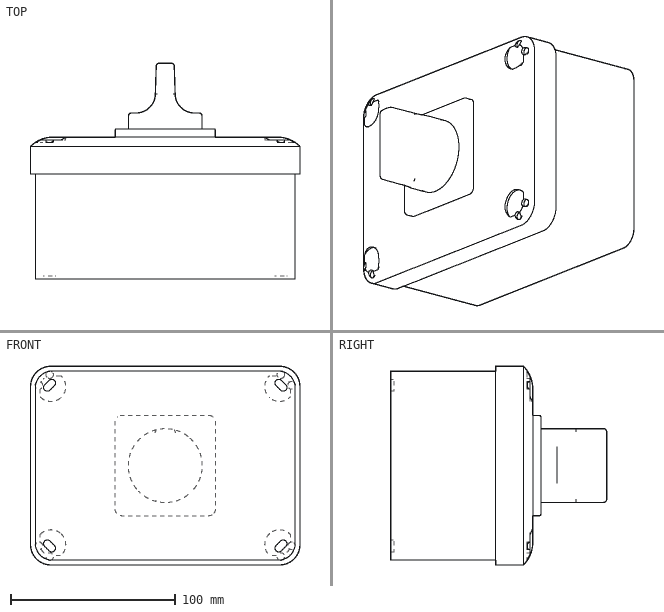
import cadquery as cq

lid_width = 164.0
lid_height = 121.0
lid_corner_radius = 12.5
lid_overhang = 3.0
body_width = lid_width - 2 * lid_overhang
body_height = lid_height - 2 * lid_overhang
body_corner_radius = 10.2

overall_depth = 131.37
seam_y = 63.8
lid_rim_y = 80.7
lid_top_y = 86.4
plate_top_y = 91.4

dome_width = lid_corner_radius
dome_drop = lid_top_y - lid_rim_y
dome_radius = 20.0

slot_width = 4.6
slot_length = 8.4
slot_depth = 2.0
slot_edge_distance = 8.65

recess_radius = 9.0
recess_depth = 1.66
notch_radius = 2.3
notch_depth = 3.4
notch_inner_distance = 11.7
notch_outer_distance = 5.2

plate_size = 61.0
plate_corner_radius = 4.0
plate_edge_radius = 1.0
knob_radius = 22.5
knob_edge_radius = 2.0
blade_tip_half_width = 5.5
blade_root_half_width = 6.1
blade_root_y = 112.6
scoop_floor_y = 101.1
scoop_radius = blade_root_y - scoop_floor_y

CORNER_SIGNS = [(sx, sz) for sx in (-1, 1) for sz in (-1, 1)]


def rounded_block(width, height, radius, y_start, y_end):
    block = cq.Workplane("XY").box(width, y_end - y_start, height)
    block = block.edges("|Y").fillet(radius)
    return block.translate((0, (y_start + y_end) / 2, 0))


def disc(x, z, radius, y_start, y_end):
    base_centre = cq.Vector(x, y_start, z)
    axis = cq.Vector(0, 1, 0)
    return cq.Workplane(cq.Solid.makeCylinder(radius, y_end - y_start, base_centre, axis))


def dome_profile():
    """Section of the domed border: X runs outward from the flat top, Y is depth."""
    return (
        cq.Workplane("XY")
        .moveTo(0, lid_rim_y)
        .lineTo(0, lid_top_y)
        .radiusArc((dome_width, lid_rim_y), dome_radius)
        .close()
    )


def make_dome():
    core_half_x = lid_width / 2 - dome_width
    core_half_z = lid_height / 2 - dome_width
    core = cq.Workplane("XY").box(2 * core_half_x, dome_drop, 2 * core_half_z)
    dome = core.translate((0, (lid_rim_y + lid_top_y) / 2, 0))
    long_edge = dome_profile().extrude(core_half_x, both=True)
    short_edge = dome_profile().extrude(core_half_z, both=True)
    corner = dome_profile().revolve(360, (0, 0, 0), (0, 1, 0))
    y_axis = ((0, 0, 0), (0, 1, 0))
    for turn, sign in ((90, -1), (-90, 1)):
        dome = dome.union(long_edge.rotate(*y_axis, turn).translate((0, 0, sign * core_half_z)))
    for turn, sign in ((0, 1), (180, -1)):
        dome = dome.union(short_edge.rotate(*y_axis, turn).translate((sign * core_half_x, 0, 0)))
    for sx, sz in CORNER_SIGNS:
        dome = dome.union(corner.translate((sx * core_half_x, 0, sz * core_half_z)))
    return dome


def make_enclosure():
    body = rounded_block(body_width, body_height, body_corner_radius, 0, seam_y)
    rim = rounded_block(lid_width, lid_height, lid_corner_radius, seam_y, lid_rim_y)
    return body.union(rim).union(make_dome())


def cut_mounting_slots(enclosure):
    x = body_width / 2 - slot_edge_distance
    z = body_height / 2 - slot_edge_distance
    for sx, sz in CORNER_SIGNS:
        slot = (
            cq.Workplane("XZ")
            .slot2D(slot_length, slot_width)
            .extrude(-slot_depth)
            .rotate((0, 0, 0), (0, 1, 0), 45 * sx * sz)
            .translate((sx * x, 0, sz * z))
        )
        enclosure = enclosure.cut(slot)
    return enclosure


def cut_screw_recesses(enclosure):
    """Sink a shallow disc in each lid corner, with a deeper notch toward each adjoining side."""
    half_x = lid_width / 2
    half_z = lid_height / 2
    floor_y = lid_top_y - recess_depth
    notch_y = lid_top_y - notch_depth
    notch_offsets = (
        (notch_inner_distance, notch_outer_distance),
        (notch_outer_distance, notch_inner_distance),
    )
    for sx, sz in CORNER_SIGNS:
        centre_x = sx * (half_x - lid_corner_radius)
        centre_z = sz * (half_z - lid_corner_radius)
        enclosure = enclosure.cut(disc(centre_x, centre_z, recess_radius, floor_y, lid_top_y))
        for inset_x, inset_z in notch_offsets:
            notch = disc(sx * (half_x - inset_x), sz * (half_z - inset_z), notch_radius, notch_y, lid_top_y)
            enclosure = enclosure.cut(notch)
    return enclosure


def make_plate():
    plate = rounded_block(plate_size, plate_size, plate_corner_radius, lid_top_y, plate_top_y)
    return plate.faces(">Y").edges().fillet(plate_edge_radius)


def make_knob():
    """Round knob scooped on both sides to leave a tapered grip blade."""
    scoop = (
        cq.Workplane("XY")
        .moveTo(blade_tip_half_width, overall_depth)
        .lineTo(blade_root_half_width, blade_root_y)
        .radiusArc((blade_root_half_width + scoop_radius, scoop_floor_y), -scoop_radius)
        .lineTo(2 * knob_radius, scoop_floor_y)
        .lineTo(2 * knob_radius, overall_depth)
        .close()
        .extrude(2 * knob_radius, both=True)
    )
    knob = disc(0, 0, knob_radius, plate_top_y, overall_depth)
    knob = knob.cut(scoop).cut(scoop.mirror("YZ"))
    grip_edges = cq.selectors.BoxSelector(
        (-knob_radius, scoop_floor_y - knob_edge_radius, -2 * knob_radius),
        (knob_radius, overall_depth + knob_edge_radius, 2 * knob_radius),
    )
    return knob.edges(grip_edges).fillet(knob_edge_radius)


enclosure = cut_screw_recesses(cut_mounting_slots(make_enclosure()))
result = enclosure.union(make_plate()).union(make_knob())